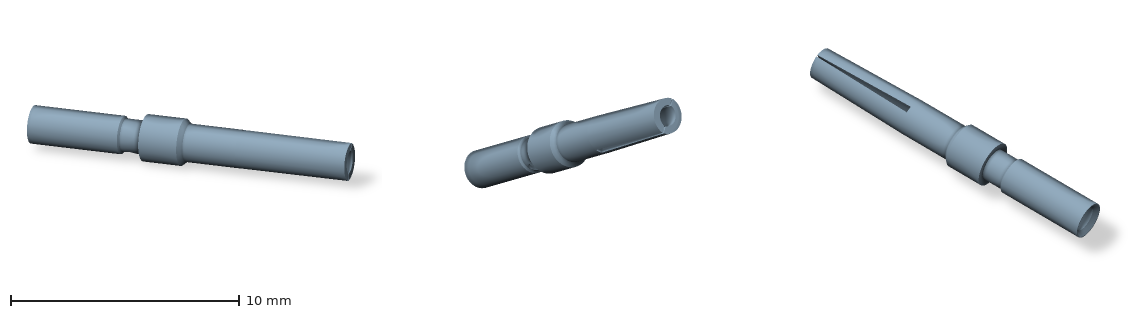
import cadquery as cq
import math

total_length = 14.65
barrel_end = 4.16
groove_start = 4.25
collar_start = 5.22
shoulder_start = 6.97
shoulder_end = 7.2
slot_start = 9.63

cross_tilt = 17.0

body_radius = 1.7 / 2
groove_radius = 1.5 / 2
collar_radius = 2.1 / 2

wire_bore_radius = 1.2 / 2
mouth_radius = 1.61 / 2
mouth_depth = mouth_radius - wire_bore_radius
wire_bore_depth = 4.9
drill_point_angle = 118.0
drill_point_length = wire_bore_radius / math.tan(math.radians(drill_point_angle / 2))

inspection_radius = 0.6 / 2
inspection_x = 4.59

socket_radius = 1.05 / 2
slot_width = 0.31
tine_pinch = 0.12


def make_body():
    """Turned body from the wire end to the root of the tines."""
    profile = [
        (0, 0),
        (0, body_radius),
        (barrel_end, body_radius),
        (groove_start, groove_radius),
        (collar_start, groove_radius),
        (collar_start, collar_radius),
        (shoulder_start, collar_radius),
        (shoulder_end, body_radius),
        (slot_start, body_radius),
        (slot_start, 0),
    ]
    return cq.Workplane("XY").polyline(profile).close().revolve(360, (0, 0), (1, 0))


def make_wire_bore():
    """Countersunk blind bore with a conical bottom."""
    profile = [
        (0, 0),
        (0, mouth_radius),
        (mouth_depth, wire_bore_radius),
        (wire_bore_depth, wire_bore_radius),
        (wire_bore_depth + drill_point_length, 0),
    ]
    return cq.Workplane("XY").polyline(profile).close().revolve(360, (0, 0), (1, 0))


def make_inspection_hole():
    """Radial hole from the wire bore down through the groove."""
    hole = cq.Workplane("XY").center(inspection_x, 0).circle(inspection_radius).extrude(-collar_radius)
    return hole.rotate((0, 0, 0), (1, 0, 0), -cross_tilt)


def tine_section(plane, shift):
    """C-shaped tine section on the +Y side, moved by shift towards the axis."""
    half_slot = slot_width / 2
    outer_height = math.sqrt(body_radius**2 - half_slot**2)
    inner_height = math.sqrt(socket_radius**2 - half_slot**2)
    wall = half_slot - shift
    return (
        plane.moveTo(wall, -outer_height)
        .threePointArc((body_radius - shift, 0), (wall, outer_height))
        .lineTo(wall, inner_height)
        .threePointArc((socket_radius - shift, 0), (wall, -inner_height))
        .close()
    )


def make_tine():
    """One tine leaning inwards from its root to its tip."""
    root = tine_section(cq.Workplane("YZ", origin=(slot_start, 0, 0)), 0)
    tip_plane = root.workplane(offset=total_length - slot_start)
    return tine_section(tip_plane, tine_pinch).loft(ruled=True, combine=True)


result = make_body().cut(make_wire_bore()).cut(make_inspection_hole())

tine = make_tine()
for side_angle in (0, 180):
    result = result.union(tine.rotate((0, 0, 0), (1, 0, 0), side_angle - cross_tilt))